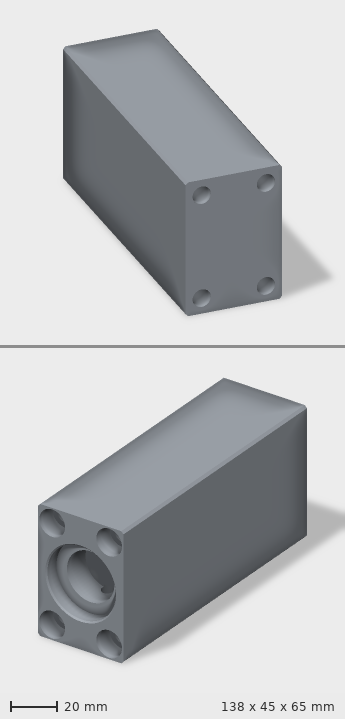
import cadquery as cq

LENGTH = 138.0
WIDTH = 45.0
HEIGHT = 65.0
EDGE_CHAMFER = 1.2

SCREW_SPACING_Y = 30.0
SCREW_SPACING_Z = 50.0
SCREW_HOLE_DIAMETER = 8.5
SCREW_HEAD_DIAMETER = 13.5
SCREW_HEAD_DEPTH = 10.0

BORE_DIAMETER = 25.0
BORE_DEPTH = 21.5
SEAT_DIAMETER = 36.0
SEAT_DEPTH = 7.5
SEAT_CHAMFER = 0.7

PORT_DIAMETER = 6.0
PORT_TOP_ABOVE_BORE_FLOOR = 1.5
PORT_X = 20.4


def cylinder_along_x(diameter, depth, y=0.0, z=0.0):
    """Cylinder starting at the mouth face and running in +X."""
    return cq.Workplane("YZ").center(y, z).circle(diameter / 2).extrude(depth)


def make_block():
    block = cq.Workplane("YZ").rect(WIDTH, HEIGHT).extrude(LENGTH)
    return block.edges("|X").chamfer(EDGE_CHAMFER)


def cut_screw_holes(body):
    for y in (-SCREW_SPACING_Y / 2, SCREW_SPACING_Y / 2):
        for z in (-SCREW_SPACING_Z / 2, SCREW_SPACING_Z / 2):
            body = body.cut(cylinder_along_x(SCREW_HOLE_DIAMETER, LENGTH, y, z))
            body = body.cut(cylinder_along_x(SCREW_HEAD_DIAMETER, SCREW_HEAD_DEPTH, y, z))
    return body


def cut_bore(body):
    seat_radius = SEAT_DIAMETER / 2
    bore_radius = BORE_DIAMETER / 2
    half_profile = [
        (0, 0),
        (0, seat_radius + SEAT_CHAMFER),
        (SEAT_CHAMFER, seat_radius),
        (SEAT_DEPTH, seat_radius),
        (SEAT_DEPTH, bore_radius),
        (BORE_DEPTH, bore_radius),
        (BORE_DEPTH, 0),
    ]
    bore = cq.Workplane("XY").polyline(half_profile).close().revolve(360, (0, 0, 0), (1, 0, 0))
    return body.cut(bore)


def cut_port(body):
    underside = -HEIGHT / 2
    port_top = -BORE_DIAMETER / 2 + PORT_TOP_ABOVE_BORE_FLOOR
    port = (
        cq.Workplane("XY", origin=(PORT_X, 0, underside))
        .circle(PORT_DIAMETER / 2)
        .extrude(port_top - underside)
    )
    return body.cut(port)


result = cut_port(cut_bore(cut_screw_holes(make_block())))